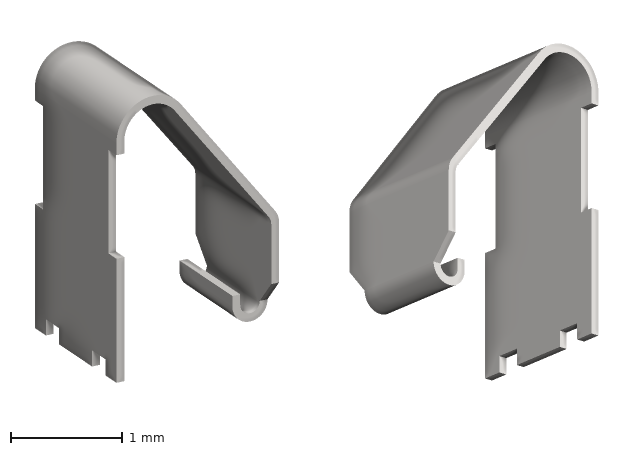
import cadquery as cq
import math

width = 1.5
depth = 1.7
height = 2.7
sheet = 0.08

crown_radius = 0.378
elbow_radius = 0.2
elbow_z = 1.2
hook_radius = 0.18
hook_z = 0.38
lip_top_z = 0.483

notch_depth = 0.148
notch_bottom_z = 1.202
notch_top_z = 2.203
slot_inner_x = 0.302
slot_width = 0.245
slot_height = 0.157

leaf_width = 1.399
hook_width = 0.972
shoulder_z = 0.618

crown_y = crown_radius
crown_z = height - crown_radius
elbow_y = depth - elbow_radius
hook_y = depth - hook_radius

center_distance = math.hypot(elbow_y - crown_y, crown_z - elbow_z)
center_slope = math.atan2(crown_z - elbow_z, elbow_y - crown_y)
arm_slope = center_slope + math.asin((crown_radius - elbow_radius) / center_distance)
arm_normal = math.pi / 2 - arm_slope
leaf_front_y = depth - sheet


def on_circle(y, z, radius, angle):
    return (y + radius * math.cos(angle), z + radius * math.sin(angle))


def strip_profile():
    """Constant-thickness side profile of the folded strip."""

    def crown(inset, angle):
        return on_circle(crown_y, crown_z, crown_radius - inset, angle)

    def elbow(inset, angle):
        return on_circle(elbow_y, elbow_z, elbow_radius - inset, angle)

    def hook(inset, angle):
        return on_circle(hook_y, hook_z, hook_radius - inset, angle)

    crown_middle = (math.pi + arm_normal) / 2
    elbow_middle = arm_normal / 2
    lip_y = hook_y - hook_radius
    return (
        cq.Workplane("YZ")
        .moveTo(0, 0)
        .lineTo(*crown(0, math.pi))
        .threePointArc(crown(0, crown_middle), crown(0, arm_normal))
        .lineTo(*elbow(0, arm_normal))
        .threePointArc(elbow(0, elbow_middle), elbow(0, 0))
        .lineTo(*hook(0, 0))
        .threePointArc(hook(0, -math.pi / 2), hook(0, -math.pi))
        .lineTo(lip_y, lip_top_z)
        .lineTo(lip_y + sheet, lip_top_z)
        .lineTo(*hook(sheet, -math.pi))
        .threePointArc(hook(sheet, -math.pi / 2), hook(sheet, 0))
        .lineTo(*elbow(sheet, 0))
        .threePointArc(elbow(sheet, elbow_middle), elbow(sheet, arm_normal))
        .lineTo(*crown(sheet, arm_normal))
        .threePointArc(crown(sheet, crown_middle), crown(sheet, math.pi))
        .lineTo(sheet, 0)
        .close()
    )


def plan_envelope():
    """Full-height prism that tapers the arm from the front plate to the leaf."""
    front = width / 2
    rear = leaf_width / 2
    outline = [
        (-front, 0), (front, 0), (front, sheet), (rear, leaf_front_y), (rear, depth),
        (-rear, depth), (-rear, leaf_front_y), (-front, sheet),
    ]
    return cq.Workplane("XY").polyline(outline).close().extrude(height)


def plate_cutouts(side):
    """Edge notch and bottom slot on one side of the front plate."""
    notch = cq.Workplane("XY").box(
        2 * notch_depth, 2 * sheet, notch_top_z - notch_bottom_z
    ).translate((side * width / 2, sheet / 2, (notch_top_z + notch_bottom_z) / 2))
    slot = cq.Workplane("XY").box(slot_width, 2 * sheet, 2 * slot_height).translate(
        (side * (slot_inner_x + slot_width / 2), sheet / 2, 0)
    )
    return notch.union(slot)


def hook_trim(side):
    """Material removed beside the hook, with a sloping shoulder on the leaf."""
    inner_x = side * hook_width / 2
    outer_x = side * width / 2
    hook_outline = [(inner_x, 0), (inner_x, shoulder_z), (outer_x, shoulder_z), (outer_x, 0)]
    leaf_outline = [
        (inner_x, 0),
        (inner_x, hook_z),
        (side * leaf_width / 2, shoulder_z),
        (outer_x, shoulder_z),
        (outer_x, 0),
    ]
    hook_front_y = depth - 2 * hook_radius
    hook_part = (
        cq.Workplane("XZ", origin=(0, hook_front_y, 0))
        .polyline(hook_outline)
        .close()
        .extrude(hook_front_y - leaf_front_y)
    )
    leaf_part = (
        cq.Workplane("XZ", origin=(0, leaf_front_y, 0))
        .polyline(leaf_outline)
        .close()
        .extrude(-sheet)
    )
    return hook_part.union(leaf_part)


strip = strip_profile().extrude(width / 2, both=True)
result = strip.intersect(plan_envelope())
for side in (-1, 1):
    result = result.cut(plate_cutouts(side)).cut(hook_trim(side))